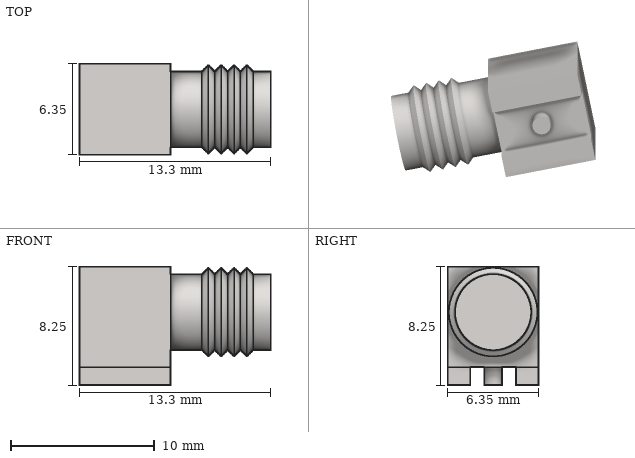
import cadquery as cq

total_length = 13.34
block_side = 6.35
block_height = 7.0
foot_height = 1.25
foot_width = 1.59
pin_diameter = 1.27

barrel_diameter = 5.3
axis_height = 5.08

ridge_count = 4
ridge_diameter = 6.16
ridge_width = 0.9
ridge_start = 8.54

feet_bottom = -axis_height
block_bottom = feet_bottom + foot_height
barrel_radius = barrel_diameter / 2
ridge_radius = ridge_diameter / 2
foot_offset = (block_side - foot_width) / 2


def make_block():
    """Rectangular housing whose rear face lies on X = 0."""
    return (
        cq.Workplane("XY", origin=(block_side / 2, 0, block_bottom))
        .rect(block_side, block_side)
        .extrude(block_height)
    )


def make_foot(y_center):
    """Mounting foot running the full length of the block."""
    return (
        cq.Workplane("XY", origin=(block_side / 2, y_center, feet_bottom))
        .rect(block_side, foot_width)
        .extrude(foot_height)
    )


def make_contact_pin():
    """Round solder pin below the center of the block, level with the feet."""
    return (
        cq.Workplane("XY", origin=(block_side / 2, 0, feet_bottom))
        .circle(pin_diameter / 2)
        .extrude(foot_height)
    )


def make_barrel():
    """Cylindrical connector barrel standing out of the block's front face."""
    return (
        cq.Workplane("YZ", origin=(block_side, 0, 0))
        .circle(barrel_radius)
        .extrude(total_length - block_side)
    )


def make_ridge(x_start):
    """V-shaped thread ridge: a triangle revolved about the barrel axis."""
    return (
        cq.Workplane("XZ")
        .moveTo(x_start, barrel_radius)
        .lineTo(x_start + ridge_width / 2, ridge_radius)
        .lineTo(x_start + ridge_width, barrel_radius)
        .close()
        .revolve(360, (0, 0, 0), (1, 0, 0))
    )


block = make_block()
feet = [make_foot(side * foot_offset) for side in (-1, 1)]
contact_pin = make_contact_pin()
barrel = make_barrel()
ridges = [make_ridge(ridge_start + i * ridge_width) for i in range(ridge_count)]

result = cq.Compound.makeCompound([
    block.val(),
    *[foot.val() for foot in feet],
    contact_pin.val(),
    barrel.val(),
    *[ridge.val() for ridge in ridges],
])